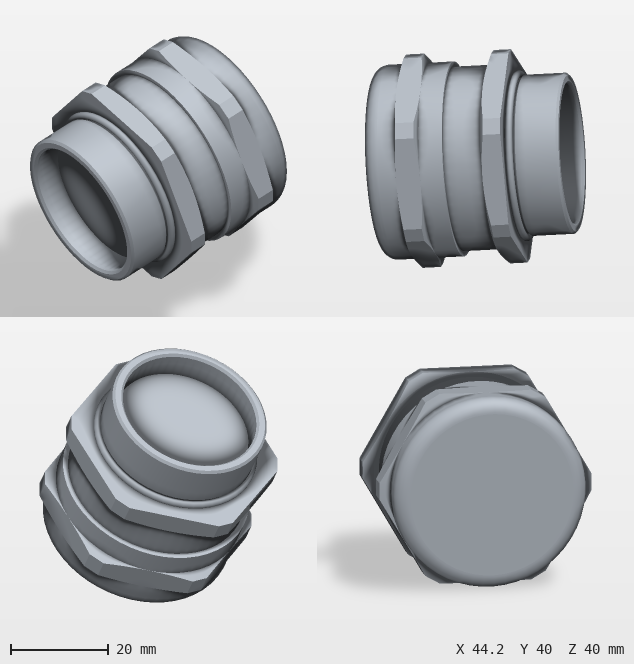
import cadquery as cq
import math

length = 40.0
across_flats = 40.0
across_corner_flats = 44.2
flat_radius = across_flats / 2

spigot_length = 9.45
neck_length = 1.55
front_hex_length = 4.5
body_length = 8.0
collar_length = 4.9
rear_hex_length = 5.05

front_hex_start = spigot_length + neck_length
front_hex_end = front_hex_start + front_hex_length
nut_start = front_hex_end + body_length
rear_hex_start = nut_start + collar_length
rear_hex_end = rear_hex_start + rear_hex_length

spigot_radius = 16.53
spigot_chamfer = 0.5
neck_radius = spigot_radius - spigot_chamfer

ring_outer_radius = 17.5
ring_section_radius = neck_length / 2

body_radius = 18.9
dome_radius = 3.0
front_hex_bevel = 0.9
rear_hex_bevel = 0.6

bore_radius = 14.3
bore_depth = 6.0
bore_chamfer = 0.5


def cylinder(radius, start, end):
    """Solid cylinder along Y from start to end."""
    return cq.Workplane("XZ", origin=(0, start, 0)).circle(radius).extrude(start - end)


def turned(profile):
    """Solid turned about the Y axis from a closed profile of (radius, y) points."""
    return cq.Workplane("XY").polyline(profile).close().revolve(360, (0, 0, 0), (0, 1, 0))


def hexagon_prism(width, start, end, turn=0):
    """Hexagonal prism along Y, with its flats facing Z before it is turned about Y."""
    corner_diameter = width / math.cos(math.pi / 6)
    prism = cq.Workplane("XZ", origin=(0, start, 0)).polygon(6, corner_diameter).extrude(start - end)
    return prism.rotate((0, 0, 0), (0, 1, 0), turn)


def hexagon(start, end, back_bevel, front_bevel=0):
    """Hexagon with flat-cut corners, bevelled by cones that just reach the middle of its flats."""
    sides = hexagon_prism(across_flats, start, end)
    corner_flats = hexagon_prism(across_corner_flats, start, end, turn=30)

    sharp_corner_radius = flat_radius / math.cos(math.pi / 6)
    corner_flat_half_width = (sharp_corner_radius - across_corner_flats / 2) * math.sqrt(3)
    edge_radius = math.hypot(across_corner_flats / 2, corner_flat_half_width)

    profile = [(0, start)]
    if front_bevel:
        profile.append((flat_radius, start))
    profile += [
        (edge_radius, start + front_bevel),
        (edge_radius, end - back_bevel),
        (flat_radius, end),
        (0, end),
    ]
    return sides.intersect(corner_flats).intersect(turned(profile))


def sealing_ring():
    """Round-section ring resting against the front hexagon."""
    centre_radius = ring_outer_radius - ring_section_radius
    centre_y = front_hex_start - ring_section_radius
    section = cq.Workplane("XY").moveTo(centre_radius, centre_y).circle(ring_section_radius)
    return section.revolve(360, (0, 0, 0), (0, 1, 0))


def bore():
    """Blind bore with a chamfered mouth."""
    return turned([
        (0, 0),
        (bore_radius + bore_chamfer, 0),
        (bore_radius, bore_chamfer),
        (bore_radius, bore_depth),
        (0, bore_depth),
    ])


spigot = cylinder(spigot_radius, 0, spigot_length).faces("<Y or >Y").chamfer(spigot_chamfer)
neck = cylinder(neck_radius, spigot_length, front_hex_start)
front_hex = hexagon(front_hex_start, front_hex_end, front_hex_bevel)
body = cylinder(body_radius, front_hex_end, nut_start)
nut = cylinder(flat_radius, nut_start, length).faces(">Y").edges().fillet(dome_radius)
rear_hex = hexagon(rear_hex_start, rear_hex_end, rear_hex_bevel, rear_hex_bevel)

result = spigot
for piece in (neck, sealing_ring(), front_hex, body, nut, rear_hex):
    result = result.union(piece)
result = result.cut(bore())